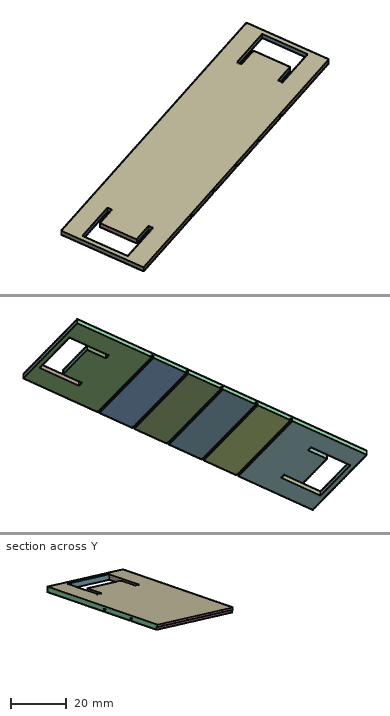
import cadquery as cq

PLATE_WIDTH = 35.0
PLATE_LENGTH = 125.0
PLATE_THICKNESS = 2.1

WINDOW_WIDTH = 19.2
END_RAIL = 1.9
WINDOW_LENGTH = 16.9
TONGUE_WIDTH = 15.6
TONGUE_LENGTH = 8.1

GROOVE_COUNT = 5
GROOVE_PITCH = 15.0
GROOVE_WIDTH = 0.8
GROOVE_DEPTH = 1.0


def make_plate():
    return cq.Workplane("XY").box(
        PLATE_WIDTH, PLATE_LENGTH, PLATE_THICKNESS, centered=(True, True, False)
    )


def make_window_cutter(end):
    """U-shaped through cutter at the +Y end (end = 1) or the -Y end (end = -1)."""
    half_window = WINDOW_WIDTH / 2
    half_tongue = TONGUE_WIDTH / 2
    outer_y = PLATE_LENGTH / 2 - END_RAIL
    root_y = outer_y - WINDOW_LENGTH
    tip_y = root_y + TONGUE_LENGTH
    return (
        cq.Workplane("XY")
        .moveTo(-half_window, end * outer_y)
        .lineTo(half_window, end * outer_y)
        .lineTo(half_window, end * root_y)
        .lineTo(half_tongue, end * root_y)
        .lineTo(half_tongue, end * tip_y)
        .lineTo(-half_tongue, end * tip_y)
        .lineTo(-half_tongue, end * root_y)
        .lineTo(-half_window, end * root_y)
        .close()
        .extrude(PLATE_THICKNESS)
    )


def make_groove_cutters():
    """Full-width bars, evenly spaced along Y about the middle of the plate."""
    return (
        cq.Workplane("XY")
        .rarray(1, GROOVE_PITCH, 1, GROOVE_COUNT)
        .rect(PLATE_WIDTH, GROOVE_WIDTH)
        .extrude(GROOVE_DEPTH)
    )


result = make_plate()
for plate_end in (1, -1):
    result = result.cut(make_window_cutter(plate_end))
result = result.cut(make_groove_cutters())